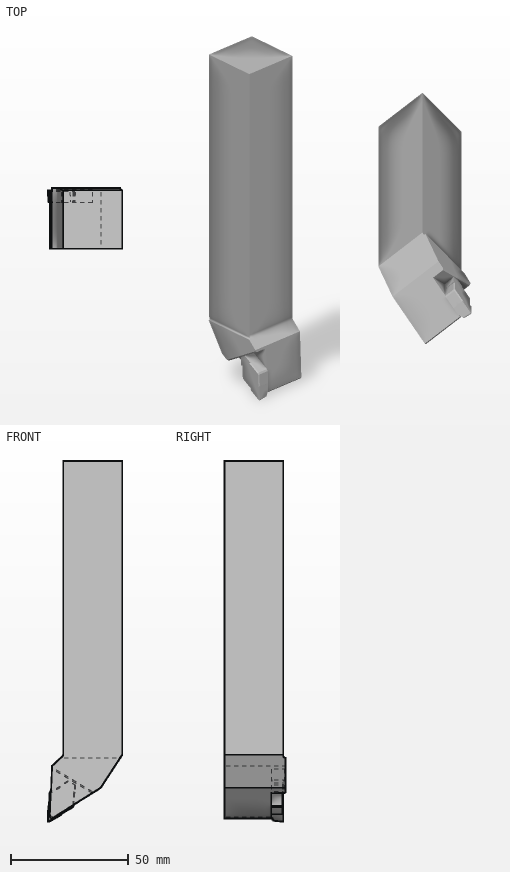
import cadquery as cq
import math


total_length = 153.8
shank_width = 25.2
shank_depth = 25.0
head_rise = 0.9
shoulder_z = 27.4
shoulder_radius = 0.6
shank_right_bottom = 28.6
neck_z = 28.3
flare_x = -4.8
flare_z = 23.8
nose_x = -5.7
nose_z = 2.2
nose_flat_x = -4.9
nose_flat_z = 1.4
heel_x = 16.0
heel_z = 14.5
neck_radius = 1.2

pocket_floor_y = 19.8
wall_left_z = 22.6
wall_right_x = 12.3
wall_right_z = 12.3
wall_bevel = 0.6

insert_back_y = shank_depth
insert_angle = 58.0
left_edge_angle = 88.0
insert_side = 13.2
tip_x = -6.6
tip_radius = 0.5
corner_flat = 0.9
clearance = 0.3
cutting_corner_length = 6.2
rim_bevel = 0.5
tip_bevel_depth = 1.4
tip_bevel_length = 2.8

head_back_y = shank_depth + head_rise
insert_thickness = insert_back_y - pocket_floor_y
half_diagonal = insert_side * math.cos(math.radians(insert_angle / 2))


def plate(points, front_y, back_y):
    """Prism with an outline of (x, z) points, from front_y to back_y."""
    base = cq.Workplane("XZ", origin=(0, front_y, 0))
    return base.polyline(points).close().extrude(front_y - back_y)


def pocket_outline():
    """Region below the straight pocket wall, reaching past the head on its open sides."""
    margin = shank_depth
    slope = (wall_right_z - wall_left_z) / (wall_right_x - flare_x)
    left = flare_x - margin
    right = wall_right_x + margin
    return [
        (left, wall_left_z + slope * (left - flare_x)),
        (right, wall_left_z + slope * (right - flare_x)),
        (right, -margin),
        (left, -margin),
    ]


def make_holder():
    outline = [
        (0, total_length),
        (shank_width, total_length),
        (shank_width, shank_right_bottom),
        (heel_x, heel_z),
        (nose_flat_x, nose_flat_z),
        (nose_x, nose_z),
        (flare_x, flare_z),
        (0, neck_z),
    ]
    body = plate(outline, 0, head_back_y)
    neck = cq.selectors.NearestToPointSelector((0, head_back_y / 2, neck_z))
    body = body.edges("|Y").edges(neck).fillet(neck_radius)

    arc_offset = shoulder_radius * (1 - math.sqrt(0.5))
    shank_trim = (
        cq.Workplane("YZ")
        .moveTo(shank_depth, total_length)
        .lineTo(shank_depth, shoulder_z + shoulder_radius)
        .threePointArc(
            (shank_depth + arc_offset, shoulder_z + arc_offset),
            (shank_depth + shoulder_radius, shoulder_z),
        )
        .lineTo(head_back_y, shoulder_z)
        .lineTo(head_back_y, total_length)
        .close()
        .extrude(shank_width, both=True)
    )

    pocket = plate(pocket_outline(), pocket_floor_y, head_back_y)
    bevel = (
        cq.Workplane("XZ", origin=(0, head_back_y - wall_bevel, 0))
        .polyline(pocket_outline())
        .close()
        .extrude(-wall_bevel, taper=-45)
    )
    return body.cut(shank_trim).cut(pocket).cut(bevel)


def insert_outline(inset, y):
    """Rhombus at depth y, edges moved inwards by inset, with round tips on X and flats on Z."""
    half_angle = math.radians(insert_angle / 2)
    half_length = half_diagonal - inset / math.sin(half_angle)
    flat_z = half_length * math.tan(half_angle) - corner_flat / 2 * math.tan(half_angle)
    flat_x = corner_flat / 2
    arc_center_x = half_length - tip_radius / math.sin(half_angle)
    arc_x = arc_center_x + tip_radius * math.sin(half_angle)
    arc_z = tip_radius * math.cos(half_angle)
    reach = arc_center_x + tip_radius
    return (
        cq.Workplane("XZ", origin=(0, y, 0))
        .moveTo(-flat_x, flat_z)
        .lineTo(flat_x, flat_z)
        .lineTo(arc_x, arc_z)
        .threePointArc((reach, 0), (arc_x, -arc_z))
        .lineTo(flat_x, -flat_z)
        .lineTo(-flat_x, -flat_z)
        .lineTo(-arc_x, -arc_z)
        .threePointArc((-reach, 0), (-arc_x, arc_z))
        .close()
    )


def make_insert():
    core = insert_outline(clearance, pocket_floor_y).extrude(-insert_thickness)
    core = core.faces(">Y").chamfer(rim_bevel)

    back_wire = insert_outline(0, insert_back_y).val()
    front_wire = insert_outline(clearance, pocket_floor_y).val()
    corners = cq.Workplane(cq.Solid.makeLoft([front_wire, back_wire], True))
    middle_length = 2 * (half_diagonal - cutting_corner_length)
    middle = cq.Workplane("XY").box(middle_length, 4 * insert_back_y, 2 * insert_side)
    blank = core.union(corners.cut(middle))

    arc_setback = tip_radius / math.sin(math.radians(insert_angle / 2))
    tip_reach = half_diagonal - arc_setback + tip_radius
    for side in (-1, 1):
        under_tip = (
            cq.Workplane("XY", origin=(0, 0, -insert_side))
            .polyline([
                (side * tip_reach, pocket_floor_y + tip_bevel_depth),
                (side * (tip_reach - tip_bevel_length), pocket_floor_y),
                (side * insert_side, pocket_floor_y),
                (side * insert_side, pocket_floor_y + tip_bevel_depth),
            ])
            .close()
            .extrude(2 * insert_side)
        )
        blank = blank.cut(under_tip)

    diagonal_angle = left_edge_angle - insert_angle / 2
    arc_center = half_diagonal - arc_setback
    placed = blank.rotate((0, 0, 0), (0, 1, 0), -diagonal_angle).translate((
        tip_x + tip_radius + arc_center * math.cos(math.radians(diagonal_angle)),
        0,
        tip_radius + arc_center * math.sin(math.radians(diagonal_angle)),
    ))

    return placed.intersect(plate(pocket_outline(), pocket_floor_y, head_back_y))


holder = make_holder()
insert = make_insert()
result = cq.Compound.makeCompound([holder.solids().val(), insert.solids().val()])